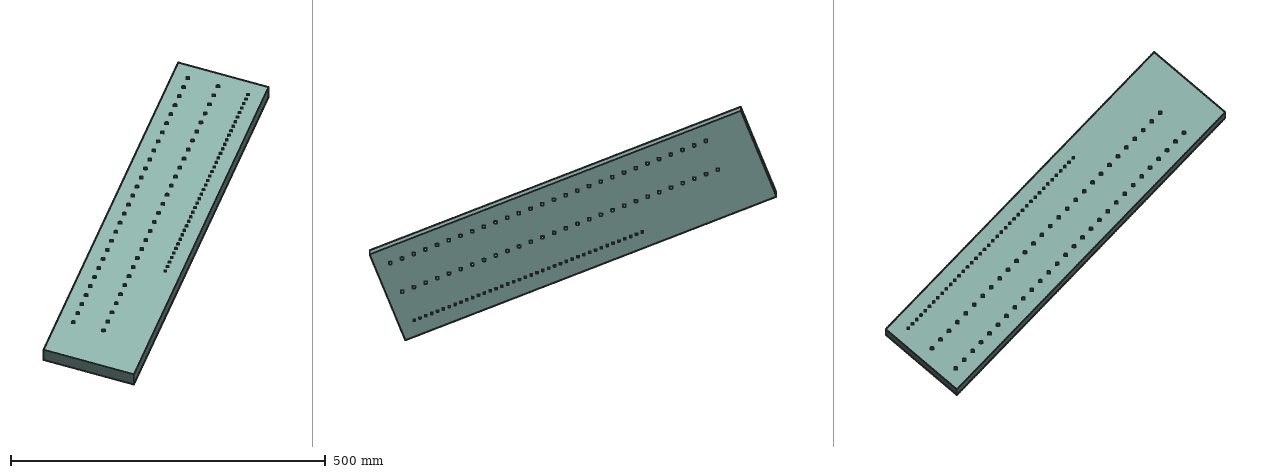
import cadquery as cq

INCH = 25.4

plate_width = 6.0 * INCH
plate_length = 25.0 * INCH
plate_thickness = 1.0 * INCH

row_spacing = plate_width / 3
first_hole_inset = 1.0 * INCH
first_hole_y = plate_length / 2 - first_hole_inset

coarse_hole_diameter = 0.201 * INCH
coarse_pitch = 0.787 * INCH
coarse_hole_count = 28

fine_hole_diameter = 0.136 * INCH
fine_pitch = 0.394 * INCH
fine_hole_count = 40


def drill_row(body, row_x, diameter, pitch, count):
    """Drill a row of through holes running from the first hole toward -Y."""
    centers = [(row_x, first_hole_y - i * pitch) for i in range(count)]
    top_face = body.faces(">Z").workplane(origin=(0, 0, 0))
    return top_face.pushPoints(centers).hole(diameter)


plate = cq.Workplane("XY").box(plate_width, plate_length, plate_thickness)

for row_x in (-row_spacing, 0):
    plate = drill_row(plate, row_x, coarse_hole_diameter, coarse_pitch, coarse_hole_count)

result = drill_row(plate, row_spacing, fine_hole_diameter, fine_pitch, fine_hole_count)